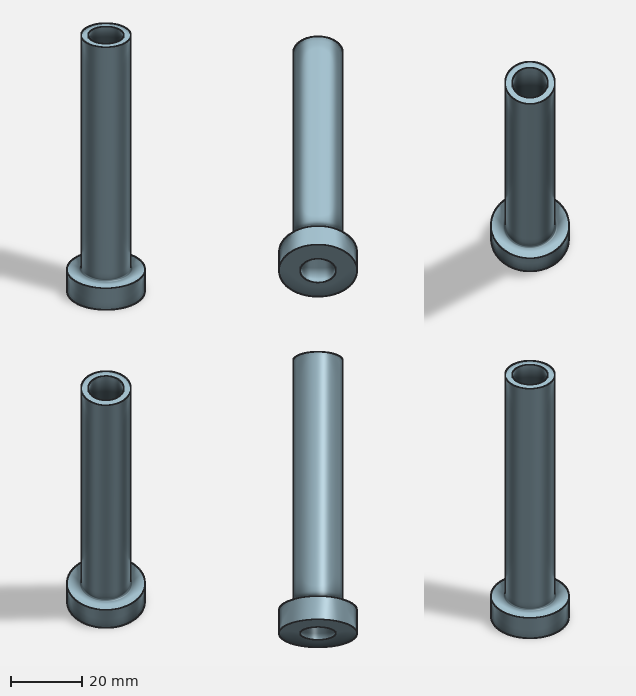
import cadquery as cq

total_length = 82.0
head_diameter = 22.0
head_height = 7.0
shank_diameter = 14.0
bore_diameter = 10.0
neck_fillet = 0.7

head = cq.Workplane("XY").circle(head_diameter / 2).extrude(head_height)
shank = cq.Workplane("XY").circle(shank_diameter / 2).extrude(total_length)
body = head.union(shank)

neck_edge = body.faces("|Z").faces("<Z[1]").edges(cq.selectors.RadiusNthSelector(0))
body = neck_edge.fillet(neck_fillet)

bore = cq.Workplane("XY").circle(bore_diameter / 2).extrude(total_length)
result = body.cut(bore)